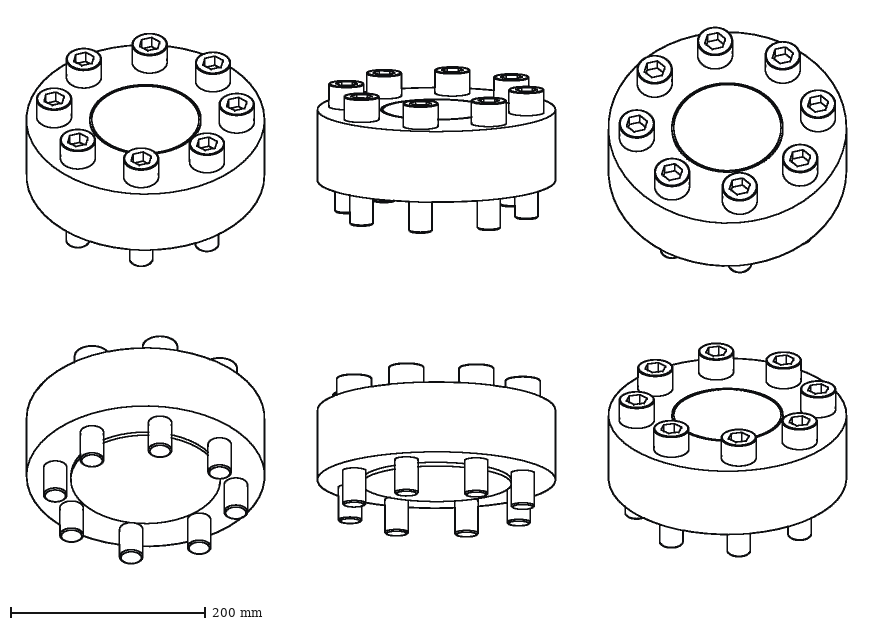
import cadquery as cq
import math

body_diameter = 245.0
body_height = 74.0

raised_face_diameter = 154.0
raised_face_height = 4.0

plug_diameter = 114.3
plug_chamfer = 2.0

screw_count = 8
screw_circle_diameter = 188.0
screw_pitch_angle = 360.0 / screw_count
first_screw_angle = screw_pitch_angle / 2
shank_diameter = 24.0
shank_projection = 36.0
shank_chamfer = 1.5
head_diameter = 36.0
head_height = shank_diameter
head_chamfer = 0.8
socket_sides = 6
socket_across_flats = 19.0
socket_rotation = 90.0
socket_depth = head_height / 2


def make_flange():
    """Flange body with the raised face below it."""
    body = cq.Workplane("XY").circle(body_diameter / 2).extrude(body_height)
    raised_face = cq.Workplane("XY").circle(raised_face_diameter / 2).extrude(-raised_face_height)
    return body.union(raised_face)


def make_plug_groove():
    """Ring removed around the chamfered top rim of the plug."""
    plug_radius = plug_diameter / 2
    return (
        cq.Workplane("XZ")
        .moveTo(plug_radius - plug_chamfer, body_height)
        .lineTo(plug_radius, body_height)
        .lineTo(plug_radius, body_height - plug_chamfer)
        .close()
        .revolve(360, (0, 0, 0), (0, 1, 0))
    )


def make_screw():
    """Cap screw on the Z axis, its head seated on top of the body."""
    shank = (
        cq.Workplane("XY")
        .workplane(offset=-shank_projection)
        .circle(shank_diameter / 2)
        .extrude(shank_projection + body_height)
        .faces("<Z")
        .chamfer(shank_chamfer)
    )
    head = (
        cq.Workplane("XY")
        .workplane(offset=body_height)
        .circle(head_diameter / 2)
        .extrude(head_height)
        .faces(">Z")
        .chamfer(head_chamfer)
    )
    socket_across_corners = socket_across_flats / math.cos(math.pi / socket_sides)
    socket = (
        cq.Workplane("XY")
        .workplane(offset=body_height + head_height - socket_depth)
        .transformed(rotate=(0, 0, socket_rotation))
        .polygon(socket_sides, socket_across_corners)
        .extrude(socket_depth)
    )
    return shank.union(head).cut(socket)


result = make_flange().cut(make_plug_groove())

screw = make_screw()
for index in range(screw_count):
    angle = math.radians(first_screw_angle + index * screw_pitch_angle)
    screw_x = screw_circle_diameter / 2 * math.cos(angle)
    screw_y = screw_circle_diameter / 2 * math.sin(angle)
    result = result.union(screw.translate((screw_x, screw_y, 0)))